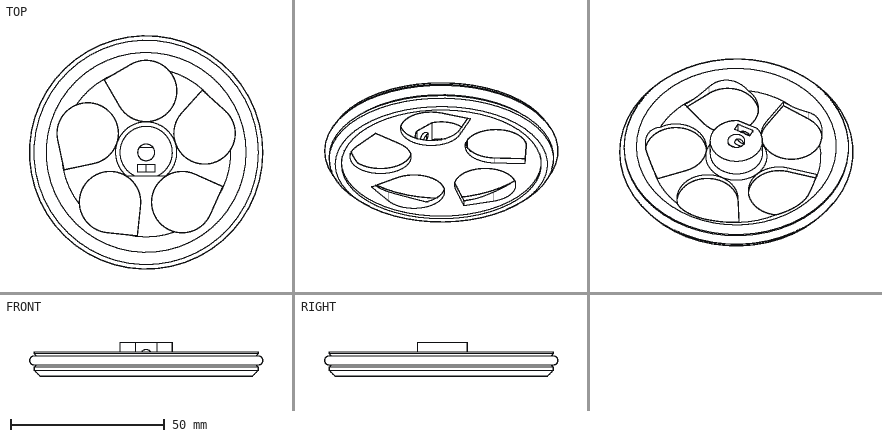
import cadquery as cq
import math

outer_radius = 38.0
tyre_section_radius = 1.5
tyre_center_radius = outer_radius - tyre_section_radius
tyre_center_z = 5.2

rim_radius = 73.0 / 2
rim_height = 8.0
rim_bottom_chamfer = 2.0
rim_mouth_radius = 32.5

web_top_z = 3.0
underside_recess_depth = 1.0
underside_recess_radius = rim_mouth_radius
window_count = 5
window_radius = 9.95
window_center_radius = 20.0
window_corner_angle = 165.0

hub_radius = 8.5
hub_top_z = 11.0
hub_flare = 1.45
hub_flat_offset = 7.75

bore_radius = 5.5 / 2
bore_mouth_depth = 1.5
bore_flat_offset = 1.5
bore_floor_z = web_top_z

screw_diameter = 3.5
screw_z = 7.0
nut_width = 5.6
nut_thickness = 2.35
nut_center_y = -5.2


def make_wheel_blank():
    """Revolve the rim, conical inner wall, recessed web and flared hub as one profile."""
    floor_radius = rim_mouth_radius - (rim_height - web_top_z)
    tangent_offset = tyre_section_radius / math.sqrt(2)
    seat_radius = tyre_center_radius - tangent_offset
    flank_rise = rim_radius - seat_radius
    groove_half_width = tangent_offset + flank_rise
    return (
        cq.Workplane("XZ")
        .moveTo(0, underside_recess_depth)
        .lineTo(underside_recess_radius, underside_recess_depth)
        .lineTo(underside_recess_radius, 0)
        .lineTo(rim_radius - rim_bottom_chamfer, 0)
        .lineTo(rim_radius, rim_bottom_chamfer)
        .lineTo(rim_radius, tyre_center_z - groove_half_width)
        .lineTo(seat_radius, tyre_center_z - tangent_offset)
        .threePointArc(
            (tyre_center_radius - tyre_section_radius, tyre_center_z),
            (seat_radius, tyre_center_z + tangent_offset),
        )
        .lineTo(rim_radius, tyre_center_z + groove_half_width)
        .lineTo(rim_radius, rim_height)
        .lineTo(rim_mouth_radius, rim_height)
        .lineTo(floor_radius, web_top_z)
        .lineTo(hub_radius + hub_flare, web_top_z)
        .lineTo(hub_radius, web_top_z + hub_flare)
        .lineTo(hub_radius, hub_top_z)
        .lineTo(0, hub_top_z)
        .close()
        .revolve(360, (0, 0, 0), (0, 1, 0))
    )


def make_window_cutter():
    """Make the window on the +Y side: a circle drawn out to one square corner."""
    round_part = cq.Workplane("XY").circle(window_radius).extrude(rim_height)
    corner_part = (
        cq.Workplane("XY")
        .rect(window_radius, window_radius, centered=False)
        .extrude(rim_height)
        .rotate((0, 0, 0), (0, 0, 1), window_corner_angle - 45)
    )
    return round_part.union(corner_part).translate((0, window_center_radius, 0))


def make_hub_flat_cutter():
    """Make the block that trims the hub and its flare flat on the -Y side."""
    flare_radius = hub_radius + hub_flare
    trim_depth = flare_radius - hub_flat_offset
    return (
        cq.Workplane("XY")
        .box(2 * flare_radius, trim_depth, hub_top_z - web_top_z, centered=(True, False, False))
        .translate((0, -flare_radius, web_top_z))
    )


def make_bore_cutter():
    """Make the D-shaped socket with its fully round mouth."""
    socket_height = hub_top_z - bore_floor_z
    socket = cq.Workplane("XY").circle(bore_radius).extrude(socket_height)
    flat_side = (
        cq.Workplane("XY")
        .box(2 * bore_radius, bore_radius, socket_height - bore_mouth_depth, centered=(True, False, False))
        .translate((0, bore_flat_offset, 0))
    )
    return socket.cut(flat_side).translate((0, 0, bore_floor_z))


def make_screw_cutter():
    """Make the radial screw hole from the shaft bore out through the hub flat."""
    return (
        cq.Workplane("XZ")
        .center(0, screw_z)
        .circle(screw_diameter / 2)
        .extrude(hub_radius)
    )


def make_nut_cutter():
    """Make the top-loading nut slot, ending in the lower half of a hexagon."""
    half_width = nut_width / 2
    point_depth = nut_width / math.sqrt(3)
    return (
        cq.Workplane("XZ", origin=(0, nut_center_y + nut_thickness / 2, 0))
        .moveTo(-half_width, hub_top_z)
        .lineTo(-half_width, screw_z - point_depth / 2)
        .lineTo(0, screw_z - point_depth)
        .lineTo(half_width, screw_z - point_depth / 2)
        .lineTo(half_width, hub_top_z)
        .close()
        .extrude(nut_thickness)
    )


def make_wheel():
    wheel = make_wheel_blank()
    window = make_window_cutter()
    for index in range(window_count):
        wheel = wheel.cut(window.rotate((0, 0, 0), (0, 0, 1), index * 360 / window_count))
    wheel = wheel.cut(make_hub_flat_cutter())
    wheel = wheel.cut(make_bore_cutter())
    wheel = wheel.cut(make_screw_cutter())
    return wheel.cut(make_nut_cutter())


def make_tyre():
    return (
        cq.Workplane("XZ")
        .center(tyre_center_radius, tyre_center_z)
        .circle(tyre_section_radius)
        .revolve(360, (-tyre_center_radius, 0, 0), (-tyre_center_radius, 1, 0))
    )


wheel = make_wheel()
tyre = make_tyre()

result = cq.Compound.makeCompound([wheel.val(), tyre.val()])